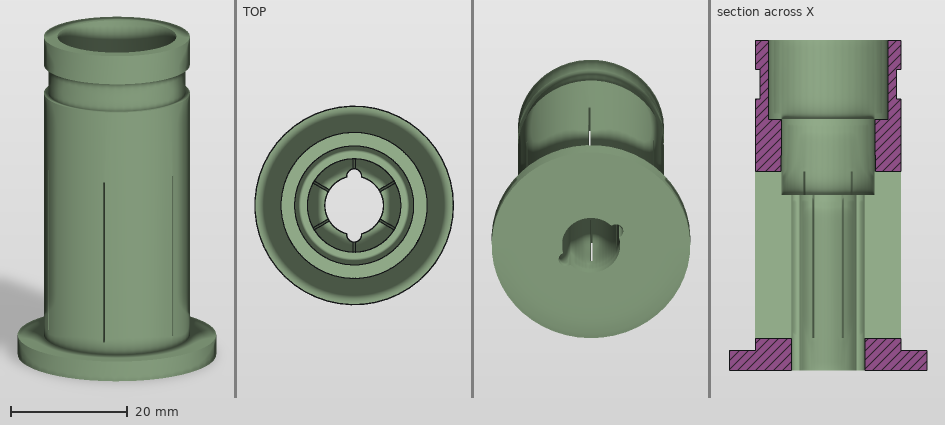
import cadquery as cq

total_height = 56.5
body_diameter = 25.0
flange_diameter = 34.0
flange_thickness = 3.5

collar_height = 5.0
groove_height = 5.0
groove_diameter = 23.5

entry_diameter = 20.376
entry_depth = 13.5
relief_diameter = 16.0
clamp_diameter = 10.0
clamp_height = 30.0

channel_diameter = 2.5
channel_angles = (90, 270)

slot_count = 6
slot_first_angle = 30
slot_width = 0.4
slot_bottom = 5.5
slot_height = 28.5


def cylinder(diameter, bottom, top):
    """Solid cylinder on the Z axis between two heights."""
    return cq.Workplane("XY").workplane(offset=bottom).circle(diameter / 2).extrude(top - bottom)


def make_sleeve():
    """Flanged outer shape with the groove below the top collar."""
    groove_top = total_height - collar_height
    groove_bottom = groove_top - groove_height
    flange = cylinder(flange_diameter, 0, flange_thickness)
    body = cylinder(body_diameter, flange_thickness, groove_bottom)
    neck = cylinder(groove_diameter, groove_bottom, groove_top)
    collar = cylinder(body_diameter, groove_top, total_height)
    return flange.union(body).union(neck).union(collar)


def make_bore():
    """Stepped bore that passes through the whole sleeve."""
    entry_floor = total_height - entry_depth
    clamp = cylinder(clamp_diameter, 0, clamp_height)
    relief = cylinder(relief_diameter, clamp_height, entry_floor)
    entry = cylinder(entry_diameter, entry_floor, total_height)
    return clamp.union(relief).union(entry)


def make_channel(angle):
    """Channel centred on the wall of the clamping bore."""
    channel = cylinder(channel_diameter, 0, clamp_height).translate((clamp_diameter / 2, 0, 0))
    return channel.rotate((0, 0, 0), (0, 0, 1), angle)


def make_slot(angle):
    """Narrow upright slot from the axis out through the body wall."""
    slot_reach = flange_diameter / 2
    slot = cq.Workplane("XY").box(slot_reach, slot_width, slot_height, centered=(False, True, False))
    return slot.translate((0, 0, slot_bottom)).rotate((0, 0, 0), (0, 0, 1), angle)


result = make_sleeve().cut(make_bore())
for channel_angle in channel_angles:
    result = result.cut(make_channel(channel_angle))
for slot_index in range(slot_count):
    slot_angle = slot_first_angle + slot_index * 360 / slot_count
    result = result.cut(make_slot(slot_angle))